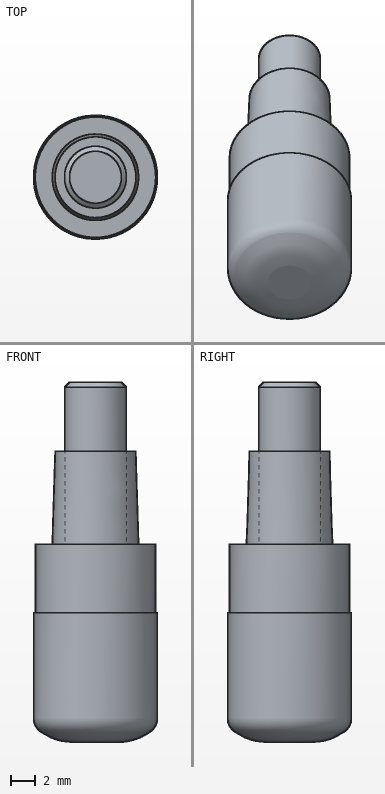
import cadquery as cq
import math

overall_height = 29.1
taper_top = 23.5
taper_base = 16.0
collar_base = 10.48
rim_height = 1.95

pin_radius = 2.5
taper_top_radius = 3.25
taper_base_radius = 3.5
collar_radius = 4.85
base_radius = 5.0

end_flat_radius = 1.75
rim_arc_radius = 1.3
rim_center_radius = base_radius - rim_arc_radius
center_spacing = rim_center_radius - end_flat_radius
shoulder_radius = (center_spacing**2 + rim_height**2 - rim_arc_radius**2) / (2 * (rim_height - rim_arc_radius))
shoulder_angle = math.asin(center_spacing / (shoulder_radius - rim_arc_radius))
rim_arc_angle = math.pi / 2 - shoulder_angle

pin_chamfer = 0.4
pin_base = taper_base


def rim_point(angle):
    """Point (radius, height) on the rim arc, turned down by angle from the side."""
    radius = rim_center_radius + rim_arc_radius * math.cos(angle)
    height = rim_height - rim_arc_radius * math.sin(angle)
    return radius, height


def shoulder_point(angle):
    """Point (radius, height) on the shoulder arc, turned up by angle from the flat."""
    return end_flat_radius + shoulder_radius * math.sin(angle), shoulder_radius * (1 - math.cos(angle))


def make_body():
    """Stepped body with a tapered neck, a rounded end and a blind hole for the pin."""
    profile = (
        cq.Workplane("XZ")
        .lineTo(end_flat_radius, 0)
        .threePointArc(shoulder_point(shoulder_angle / 2), shoulder_point(shoulder_angle))
        .threePointArc(rim_point(rim_arc_angle / 2), (base_radius, rim_height))
        .lineTo(base_radius, collar_base)
        .lineTo(collar_radius, collar_base)
        .lineTo(collar_radius, taper_base)
        .lineTo(taper_base_radius, taper_base)
        .lineTo(taper_top_radius, taper_top)
        .lineTo(pin_radius, taper_top)
        .lineTo(pin_radius, pin_base)
        .lineTo(0, pin_base)
        .close()
    )
    return profile.revolve(360, (0, 0, 0), (0, 1, 0))


def make_pin():
    """Straight pin with a chamfered tip."""
    return (
        cq.Workplane("XY")
        .workplane(offset=pin_base)
        .circle(pin_radius)
        .extrude(overall_height - pin_base)
        .faces(">Z")
        .chamfer(pin_chamfer)
    )


body = make_body()
pin = make_pin()
result = cq.Compound.makeCompound([body.val(), pin.val()])